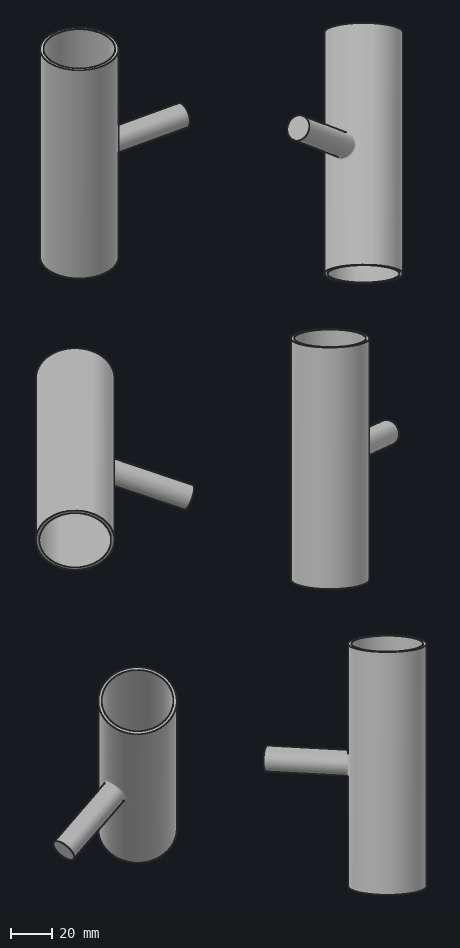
import cadquery as cq

tube_length = 120.6
tube_diameter = 38.1
wall_thickness = 1.7
bore_diameter = tube_diameter - 2 * wall_thickness

arm_diameter = 12.7
arm_reach = 60.3
weld_radius = 1.0


def cylinder_along_z(diameter):
    """Cylinder of the tube's length, centred on the origin."""
    return cq.Workplane("XY").circle(diameter / 2).extrude(tube_length / 2, both=True)


def side_arm():
    """Solid arm running from the tube axis to its end face."""
    return cq.Workplane("XZ").circle(arm_diameter / 2).extrude(-arm_reach)


def junction_edges():
    """Box that encloses only the curve where the arm meets the tube."""
    half_width = arm_diameter / 2 + weld_radius
    return cq.selectors.BoxSelector(
        (-half_width, 0, -half_width),
        (half_width, tube_diameter / 2 + weld_radius, half_width),
    )


body = cylinder_along_z(tube_diameter).union(side_arm())
body = body.edges(junction_edges()).fillet(weld_radius)
result = body.cut(cylinder_along_z(bore_diameter))